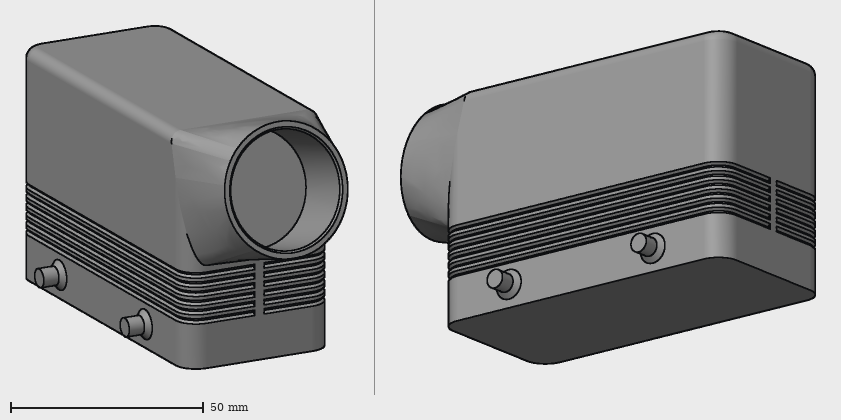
import cadquery as cq
import math

overall_length = 112.9
body_length = 93.6
body_width = 43.1
body_height = 63.0
corner_radius = 6.0
top_fillet = 3.0

neck_tilt = 14.5
neck_foot_height = 28.1
bore_radius = 15.9
bore_chamfer = 0.6
mouth_elevations = [45, 33, 12, -52]

groove_count = 6
groove_span = 12.5
groove_height = 1.5
lowest_groove_bottom = 12.3
groove_gap = 2.8

pin_span = 55.0
pin_spacing = 47.5
pin_height = 6.4
pin_diameter = 5.1
pin_base_diameter = 8.1
pin_base_length = 1.5

half_width = body_width / 2
pin_radius = pin_diameter / 2
pin_base_radius = pin_base_diameter / 2
groove_depth = groove_height / 2
groove_pitch = groove_span / (groove_count - 1)
tilt = math.radians(neck_tilt)
neck_length = (overall_length - body_length) / math.cos(tilt)
section_height = (body_height - neck_foot_height) / math.cos(tilt)
mouth_radius = section_height / 2

cut_plane = cq.Plane(
    origin=(body_length, 0, neck_foot_height),
    xDir=(0, 1, 0),
    normal=(math.cos(tilt), 0, math.sin(tilt)),
)


def footprint(inset):
    """Rounded rectangle of the body, drawn in by an inset."""
    return (
        cq.Sketch()
        .rect(body_length - 2 * inset, body_width - 2 * inset)
        .vertices()
        .fillet(corner_radius - inset)
    )


def make_body():
    """Rounded block with a filleted top, cut along the slanted plane above the neck foot."""
    body = (
        cq.Workplane("XY")
        .center(body_length / 2, 0)
        .placeSketch(footprint(0))
        .extrude(body_height)
        .faces(">Z")
        .edges()
        .fillet(top_fillet)
    )
    beyond_cut = cq.Workplane(cut_plane).rect(2 * body_width, 2 * section_height).extrude(body_length)
    above_foot = (
        cq.Workplane("XY", origin=(0, 0, neck_foot_height))
        .rect(4 * body_length, 2 * body_width)
        .extrude(body_height)
    )
    return body.cut(beyond_cut.intersect(above_foot))


def section_outline():
    """Outline of the body where the slanted plane cuts it."""
    fillet_rise = top_fillet / math.cos(tilt)
    corner_rise = corner_radius / math.sin(tilt)
    foot_half_width = half_width - corner_radius
    top_half_width = half_width - top_fillet
    shoulder = section_height - fillet_rise
    return (
        cq.Workplane(cut_plane)
        .moveTo(foot_half_width, 0)
        .ellipseArc(corner_radius, corner_rise, 270, 360, sense=1)
        .lineTo(half_width, shoulder)
        .ellipseArc(top_fillet, fillet_rise, 0, 90, sense=1)
        .lineTo(-top_half_width, section_height)
        .ellipseArc(top_fillet, fillet_rise, 90, 180, sense=1)
        .lineTo(-half_width, corner_rise)
        .ellipseArc(corner_radius, corner_rise, 180, 270, sense=1)
        .close()
    )


def mouth_outline():
    """Mouth circle, split into arcs that pair with the edges of the cut section."""
    right_side = mouth_elevations[::-1]
    left_side = [180 - elevation for elevation in mouth_elevations]
    angles = right_side + left_side + [right_side[0] + 360]

    def rim_point(angle):
        turn = math.radians(angle)
        return mouth_radius * math.cos(turn), mouth_radius + mouth_radius * math.sin(turn)

    outline = cq.Workplane(cut_plane).workplane(offset=neck_length).moveTo(*rim_point(angles[0]))
    for start, end in zip(angles, angles[1:]):
        outline = outline.threePointArc(rim_point((start + end) / 2), rim_point(end))
    return outline.wire()


def make_neck():
    wires = [section_outline().val(), mouth_outline().val()]
    return cq.Workplane(cq.Solid.makeLoft(wires, True))


def make_bore():
    """Blind bore as deep as the neck is long, flared by a chamfer at the mouth."""
    bore = cq.Workplane(cut_plane).center(0, mouth_radius).circle(bore_radius).extrude(neck_length)
    flare = (
        cq.Workplane(cut_plane)
        .workplane(offset=neck_length)
        .center(0, mouth_radius)
        .circle(bore_radius + bore_chamfer)
        .extrude(-bore_chamfer, taper=45)
    )
    return bore.union(flare)


def make_groove(bottom):
    """Ring with a right-angled V section around the body, leaving a plain strip across each end."""
    ring = (
        cq.Workplane("XY", origin=(body_length / 2, 0, bottom))
        .rect(2 * body_length, 2 * body_width)
        .extrude(groove_height)
    )
    for direction in (1, -1):
        core_half = (
            cq.Workplane("XY", origin=(body_length / 2, 0, bottom + groove_height / 2))
            .placeSketch(footprint(groove_depth))
            .extrude(direction * groove_height / 2, taper=-45)
        )
        ring = ring.cut(core_half)
    plain_strip = cq.Workplane("XY").box(4 * body_length, groove_gap, 4 * body_height)
    return ring.cut(plain_strip)


def make_pin(x, side):
    """Round pin with a conical base; side is +1 or -1 along Y."""
    tip = pin_span / 2
    profile = [
        (0, 0),
        (pin_base_radius, 0),
        (pin_base_radius, half_width),
        (pin_radius, half_width + pin_base_length),
        (pin_radius, tip),
        (0, tip),
    ]
    pin = cq.Workplane("XY").polyline([(px, side * py) for px, py in profile]).close().revolve()
    return pin.translate((x, 0, pin_height))


result = make_body().union(make_neck()).cut(make_bore())
for index in range(groove_count):
    result = result.cut(make_groove(lowest_groove_bottom + index * groove_pitch))
for offset in (-pin_spacing / 2, pin_spacing / 2):
    for side in (-1, 1):
        result = result.union(make_pin(body_length / 2 + offset, side))